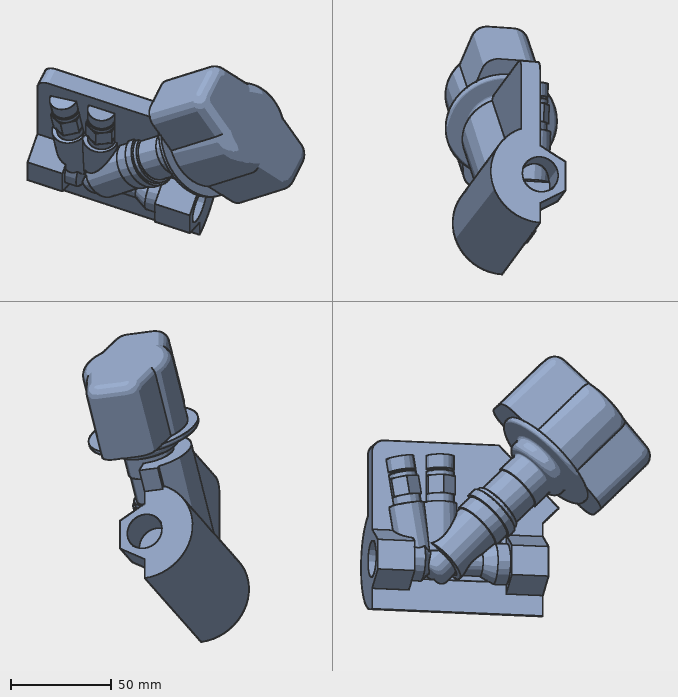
import cadquery as cq
import math


body_length = 87.5
hex_across_flats = 26.0
hex_length = 18.9
bore_radius = 9.1
left_collar_radius = 10.3
left_collar_end = 25.0
neck_radius = 6.5
right_collar_radius = 10.4
right_collar_length = 6.5
right_cone_length = 6.8

shell_radius = 25.3
plate_thickness = 9.7
plate_top = 60.5
plate_corner_radius = 6.0
stem_shell_radius = 21.7
stem_shell_length = 63.8

stem_angle = 45.0
stem_start_x = 35.3
plug_radius = 9.1
plug_bottom = -9.0
plug_fillet = 4.0
spindle_start = 55.2
stem_steps = (
    (1.0, 25.9, 12.5),
    (25.9, 33.8, 13.2),
    (33.8, 38.3, 14.4),
    (38.3, 40.8, 13.2),
    (40.8, spindle_start, 12.0),
)
spindle_radius = 12.7
ring_bottom = 66.7
ring_radius = 17.0
ring_fillet = 3.4
ring_flare = 2.1
spindle_flare = 0.8
flange_bottom = 74.0
flange_radius = 28.1
flange_fillet = 1.7

handle_bottom = 76.8
handle_top = 116.2
handle_half_length = 36.3
handle_lobe_radius = 23.0
handle_middle_half_width = 21.3
handle_end_half_width = 13.1
handle_corner_radius = 8.0
handle_top_fillet = 5.9

test_point_radius = 7.0
groove_radius = 4.1
cap_depth = 6.8
groove_depth = 8.0
nut_top_depth = 10.4
nut_bottom_depth = 19.7
shank_depth = 24.2
socket_radius = 9.0
socket_offset = 0.5
upright_x = 34.8
upright_top = 53.5
upright_socket_depth = 49.3
tilted_x = 22.8
tilt_angle = 9.5
tilted_top = 52.6
tilted_socket_depth = 49.8


def cylinder_x(radius, start, end):
    return cq.Workplane("YZ", origin=(start, 0, 0)).circle(radius).extrude(end - start)


def cylinder_z(radius, start, end):
    return cq.Workplane("XY", origin=(0, 0, start)).circle(radius).extrude(end - start)


def lean(solid, foot_x, angle):
    """Tip a solid built along Z towards +X, then stand it at foot_x on the pipe axis."""
    return solid.rotate((0, 0, 0), (0, 1, 0), angle).translate((foot_x, 0, 0))


def make_shell():
    stem_sin = math.sin(math.radians(stem_angle))
    stem_cos = math.cos(math.radians(stem_angle))
    corner_x = stem_start_x + stem_shell_length * stem_sin + stem_shell_radius * stem_cos
    corner_z = stem_shell_length * stem_cos - stem_shell_radius * stem_sin
    plate_bottom = -shell_radius / 2
    plate = (
        cq.Workplane("XZ")
        .moveTo(0, plate_bottom)
        .lineTo(body_length, plate_bottom)
        .lineTo(body_length, corner_z - (corner_x - body_length) * stem_cos / stem_sin)
        .lineTo(corner_x, corner_z)
        .lineTo(corner_x - (plate_top - corner_z) * stem_cos / stem_sin, plate_top)
        .lineTo(0, plate_top)
        .close()
        .extrude(-plate_thickness)
        .edges("|Y and <X and >Z")
        .fillet(plate_corner_radius)
    )
    rounds = cylinder_x(shell_radius, 0, body_length)
    stem_round = cylinder_z(stem_shell_radius, 0, stem_shell_length)
    rounds = rounds.union(lean(stem_round, stem_start_x, stem_angle))
    block_size = 4 * body_length
    back_half = cq.Workplane("XY").box(block_size, block_size, block_size, centered=(True, False, True))
    shell = plate.union(rounds.intersect(back_half))
    return shell.cut(cylinder_x(bore_radius, 0, body_length))


def hex_prism(workplane, across_flats, length):
    corner_diameter = across_flats / math.cos(math.radians(30))
    return workplane.transformed(rotate=(0, 0, 90)).polygon(6, corner_diameter).extrude(length)


def make_hex_end(start):
    return hex_prism(cq.Workplane("YZ", origin=(start, 0, 0)), hex_across_flats, hex_length)


def make_pipe():
    right_collar_end = body_length - hex_length
    right_collar_start = right_collar_end - right_collar_length
    core = (
        cq.Workplane("XY")
        .moveTo(hex_length, 0)
        .lineTo(hex_length, left_collar_radius)
        .lineTo(left_collar_end, left_collar_radius)
        .lineTo(left_collar_end + left_collar_radius - neck_radius, neck_radius)
        .lineTo(right_collar_start - right_cone_length, neck_radius)
        .lineTo(right_collar_start, right_collar_radius)
        .lineTo(right_collar_end, right_collar_radius)
        .lineTo(right_collar_end, 0)
        .close()
        .revolve(360, (0, 0, 0), (1, 0, 0))
    )
    return core.union(make_hex_end(0)).union(make_hex_end(right_collar_end))


def make_stem():
    stem = cylinder_z(plug_radius, plug_bottom, spindle_start)
    stem = stem.faces("<Z").edges().fillet(plug_fillet)
    for start, end, radius in stem_steps:
        stem = stem.union(cylinder_z(radius, start, end))
    arc_gap = 1 - math.sin(math.radians(45))
    spindle_flare_middle = (spindle_radius + spindle_flare * arc_gap, ring_bottom - spindle_flare * arc_gap)
    ring_fillet_middle = (ring_radius - ring_fillet * arc_gap, ring_bottom + ring_fillet * arc_gap)
    ring_flare_middle = (ring_radius + ring_flare * arc_gap, flange_bottom - ring_flare * arc_gap)
    flange_fillet_middle = (flange_radius - flange_fillet * arc_gap, flange_bottom + flange_fillet * arc_gap)
    top_works = (
        cq.Workplane("XZ")
        .moveTo(0, spindle_start)
        .lineTo(spindle_radius, spindle_start)
        .lineTo(spindle_radius, ring_bottom - spindle_flare)
        .threePointArc(spindle_flare_middle, (spindle_radius + spindle_flare, ring_bottom))
        .lineTo(ring_radius - ring_fillet, ring_bottom)
        .threePointArc(ring_fillet_middle, (ring_radius, ring_bottom + ring_fillet))
        .lineTo(ring_radius, flange_bottom - ring_flare)
        .threePointArc(ring_flare_middle, (ring_radius + ring_flare, flange_bottom))
        .lineTo(flange_radius - flange_fillet, flange_bottom)
        .threePointArc(flange_fillet_middle, (flange_radius, flange_bottom + flange_fillet))
        .lineTo(flange_radius, handle_bottom)
        .lineTo(0, handle_bottom)
        .close()
        .revolve(360, (0, 0, 0), (0, 1, 0))
    )
    return stem.union(top_works)


def make_handle():
    height = handle_top - handle_bottom
    bar = (
        cq.Workplane("XY", origin=(0, 0, handle_bottom))
        .moveTo(0, handle_middle_half_width)
        .lineTo(handle_half_length, handle_end_half_width)
        .lineTo(handle_half_length, -handle_end_half_width)
        .lineTo(0, -handle_middle_half_width)
        .lineTo(-handle_half_length, -handle_end_half_width)
        .lineTo(-handle_half_length, handle_end_half_width)
        .close()
        .extrude(height)
        .edges("|Z and (<X or >X)")
        .fillet(handle_corner_radius)
        .faces(">Z")
        .edges()
        .fillet(handle_top_fillet)
    )
    lobe = cylinder_z(handle_lobe_radius, handle_bottom, handle_top)
    lobe = lobe.faces(">Z").edges().fillet(handle_top_fillet)
    return bar.union(lobe)


def make_test_point(top, socket_depth):
    nut_plane = cq.Workplane("XY", origin=(0, 0, top - nut_bottom_depth))
    nut = hex_prism(nut_plane, 2 * test_point_radius, nut_bottom_depth - nut_top_depth)
    socket = cylinder_z(socket_radius, top - socket_depth, top - shank_depth).translate((-socket_offset, 0, 0))
    return (
        cylinder_z(test_point_radius, top - cap_depth, top)
        .union(cylinder_z(groove_radius, top - groove_depth, top - cap_depth))
        .union(cylinder_z(test_point_radius, top - shank_depth, top - groove_depth))
        .union(nut)
        .union(socket)
    )


bores = cylinder_x(bore_radius, 0, hex_length)
bores = bores.union(cylinder_x(bore_radius, body_length - hex_length, body_length))

result = make_shell().union(make_pipe()).cut(bores)
result = result.union(lean(make_stem(), stem_start_x, stem_angle))
result = result.union(lean(make_handle(), stem_start_x, stem_angle))
result = result.union(lean(make_test_point(upright_top, upright_socket_depth), upright_x, 0))
result = result.union(lean(make_test_point(tilted_top, tilted_socket_depth), tilted_x, -tilt_angle))